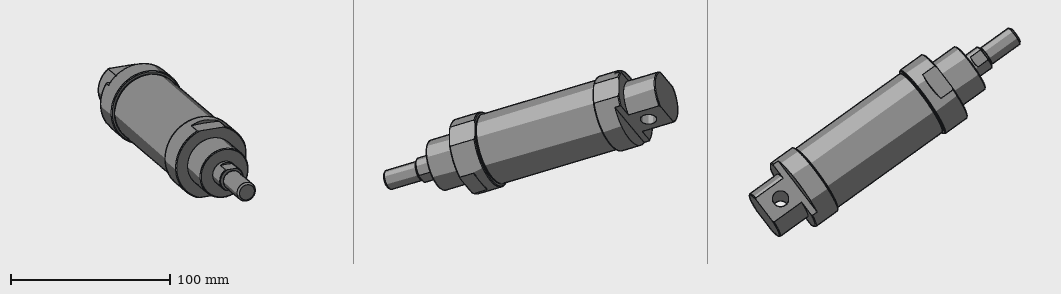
import cadquery as cq
import math

LENGTH = 196.0
TANG_END = 22.0
CAP_LENGTH = 17.8
FRONT_CAP_END = 140.7
BOSS_END = 160.7
COLLAR_END = 172.0
THREAD_START = 173.3
TUBE_START = TANG_END + CAP_LENGTH
TUBE_END = FRONT_CAP_END - CAP_LENGTH

GROOVE_WIDTH = 0.5
GROOVE_DIAMETER = 44.3

CAP_DIAMETER = 49.0
TUBE_DIAMETER = 45.5
BOSS_DIAMETER = 33.0
COLLAR_DIAMETER = 16.0
THREAD_DIAMETER = 12.5
NECK_DIAMETER = 11.0
PIVOT_HOLE_DIAMETER = 10.2

TANG_THICKNESS = 26.7
TANG_FLAT_END = 26.0
PIVOT_HOLE_X = 12.7
CAP_FLAT_START = 130.7
CAP_ACROSS_FLATS = 45.0
CAP_FLAT_BULGE = 1.0
COLLAR_FLAT_START = 163.9
COLLAR_ACROSS_FLATS = 14.0
COLLAR_FLAT_BULGE = 0.5

SIDE_FLAT = 23.3

EDGE_CHAMFER = 0.5
COLLAR_CHAMFER = 0.4
THREAD_CHAMFER = 1.2


def disc(start, end, diameter):
    """Round bar along X from start to end."""
    return cq.Workplane("YZ").workplane(offset=start).circle(diameter / 2).extrude(end - start)


def mill_tang(body):
    """Cut the tang and the adjoining strip of the rear cap to the tang thickness."""
    for side in (1, -1):
        cutter = (
            cq.Workplane("XY")
            .box(TANG_FLAT_END, CAP_DIAMETER, CAP_DIAMETER)
            .translate((TANG_FLAT_END / 2, 0, side * (TANG_THICKNESS + CAP_DIAMETER) / 2))
        )
        body = body.cut(cutter)
    return body


def mill_wrench_flats(body, start, end, diameter, across_flats, bulge):
    """Cut a flat above and below a round body, each with a rounded inner end."""
    half_width = math.sqrt(diameter**2 - across_flats**2) / 2
    for side in (1, -1):
        cutter = (
            cq.Workplane("XY")
            .workplane(offset=side * across_flats / 2)
            .moveTo(start, -half_width)
            .threePointArc((start - bulge, 0), (start, half_width))
            .lineTo(end, half_width)
            .lineTo(end, -half_width)
            .close()
            .extrude(side * diameter)
        )
        body = body.cut(cutter)
    return body


def mill_side_flat(body):
    """Cut the +Y side of a cap flat over its whole length."""
    cutter = (
        cq.Workplane("XY")
        .box(LENGTH, CAP_DIAMETER, CAP_DIAMETER)
        .translate((LENGTH / 2, SIDE_FLAT + CAP_DIAMETER / 2, 0))
    )
    return body.cut(cutter)


def make_rear_cap():
    tang = disc(0, TANG_END, BOSS_DIAMETER).faces("<X").chamfer(EDGE_CHAMFER)
    collar = disc(TANG_END, TUBE_START, CAP_DIAMETER).faces("<X or >X").chamfer(EDGE_CHAMFER)
    cap = mill_tang(tang.union(collar))
    pivot_hole = (
        cq.Workplane("XY")
        .center(PIVOT_HOLE_X, 0)
        .circle(PIVOT_HOLE_DIAMETER / 2)
        .extrude(TANG_THICKNESS, both=True)
    )
    return mill_side_flat(cap.cut(pivot_hole))


def make_tube():
    core = disc(TUBE_START, TUBE_END, GROOVE_DIAMETER)
    sleeve = disc(TUBE_START + GROOVE_WIDTH, TUBE_END - GROOVE_WIDTH, TUBE_DIAMETER)
    return core.union(sleeve)


def make_front_cap():
    collar = disc(TUBE_END, FRONT_CAP_END, CAP_DIAMETER).faces("<X or >X").chamfer(EDGE_CHAMFER)
    collar = mill_wrench_flats(
        collar, CAP_FLAT_START, FRONT_CAP_END, CAP_DIAMETER, CAP_ACROSS_FLATS, CAP_FLAT_BULGE
    )
    boss = disc(FRONT_CAP_END, BOSS_END, BOSS_DIAMETER).faces(">X").chamfer(EDGE_CHAMFER)
    return mill_side_flat(collar.union(boss))


def make_rod():
    collar = disc(BOSS_END, COLLAR_END, COLLAR_DIAMETER).faces(">X").chamfer(COLLAR_CHAMFER)
    collar = mill_wrench_flats(
        collar, COLLAR_FLAT_START, COLLAR_END, COLLAR_DIAMETER, COLLAR_ACROSS_FLATS, COLLAR_FLAT_BULGE
    )
    neck = disc(COLLAR_END, THREAD_START, NECK_DIAMETER)
    thread = disc(THREAD_START, LENGTH, THREAD_DIAMETER).faces(">X").chamfer(THREAD_CHAMFER)
    return collar.union(neck).union(thread)


rear_cap = make_rear_cap()
tube = make_tube()
front_cap = make_front_cap()
rod = make_rod()

result = cq.Compound.makeCompound([rear_cap.val(), tube.val(), front_cap.val(), rod.val()])